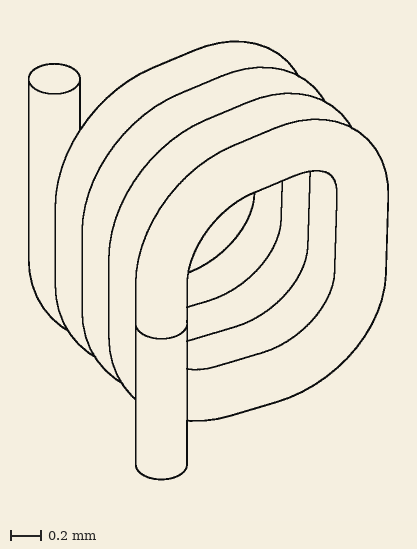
import cadquery as cq

WIDTH = 1.7
DEPTH = 1.98
HEIGHT = 2.29
WIRE_DIAMETER = 0.34
TURNS = 4
BEND_RADIUS = 0.655
BACK_ADVANCE = 0.092

PITCH = (WIDTH - WIRE_DIAMETER) / TURNS
HALF_DEPTH = (DEPTH - WIRE_DIAMETER) / 2
HALF_HEIGHT = (HEIGHT - WIRE_DIAMETER) / 2
FIRST_X = -TURNS * PITCH / 2
LAST_X = -FIRST_X
CROSS_ADVANCE = (PITCH - BACK_ADVANCE) / 2
FREE_END_Z = HEIGHT / 2
JOINT_Z = 0.0


def turn_corners(x):
    """Sharp centreline corners of one turn that starts on the front run at x."""
    return [
        cq.Vector(x, -HALF_DEPTH, -HALF_HEIGHT),
        cq.Vector(x + CROSS_ADVANCE, HALF_DEPTH, -HALF_HEIGHT),
        cq.Vector(x + CROSS_ADVANCE + BACK_ADVANCE, HALF_DEPTH, HALF_HEIGHT),
        cq.Vector(x + PITCH, -HALF_DEPTH, HALF_HEIGHT),
    ]


def bend(before, corner, after):
    """Arc of BEND_RADIUS tangent to both runs that meet at the corner."""
    incoming = (before - corner).normalized()
    outgoing = (after - corner).normalized()
    bisector = (incoming + outgoing).normalized()
    cos_half = bisector.dot(incoming)
    sin_half = (1 - cos_half**2) ** 0.5
    setback = BEND_RADIUS * cos_half / sin_half
    middle_distance = BEND_RADIUS / sin_half - BEND_RADIUS
    return cq.Edge.makeThreePointArc(
        corner + incoming * setback,
        corner + bisector * middle_distance,
        corner + outgoing * setback,
    )


def coil_path():
    """Straight runs joined by bends, from the upper free end to the joint."""
    points = [cq.Vector(FIRST_X, -HALF_DEPTH, FREE_END_Z)]
    for turn in range(TURNS):
        points += turn_corners(FIRST_X + turn * PITCH)
    points.append(cq.Vector(LAST_X, -HALF_DEPTH, JOINT_Z))

    edges = []
    run_start = points[0]
    for before, corner, after in zip(points, points[1:], points[2:]):
        arc = bend(before, corner, after)
        edges.append(cq.Edge.makeLine(run_start, arc.startPoint()))
        edges.append(arc)
        run_start = arc.endPoint()
    edges.append(cq.Edge.makeLine(run_start, points[-1]))
    return cq.Wire.assembleEdges(edges)


def make_coil():
    """Round wire wound into the coil, including its straight upper leg."""
    return (
        cq.Workplane("XY", origin=(FIRST_X, -HALF_DEPTH, FREE_END_Z))
        .circle(WIRE_DIAMETER / 2)
        .sweep(cq.Workplane(obj=coil_path()))
    )


def make_lower_leg():
    """Straight wire that continues the end of the last turn downwards."""
    return (
        cq.Workplane("XY", origin=(LAST_X, -HALF_DEPTH, -HEIGHT / 2))
        .circle(WIRE_DIAMETER / 2)
        .extrude(JOINT_Z + HEIGHT / 2)
    )


coil = make_coil()
lower_leg = make_lower_leg()
result = cq.Compound.makeCompound([coil.val(), lower_leg.val()])